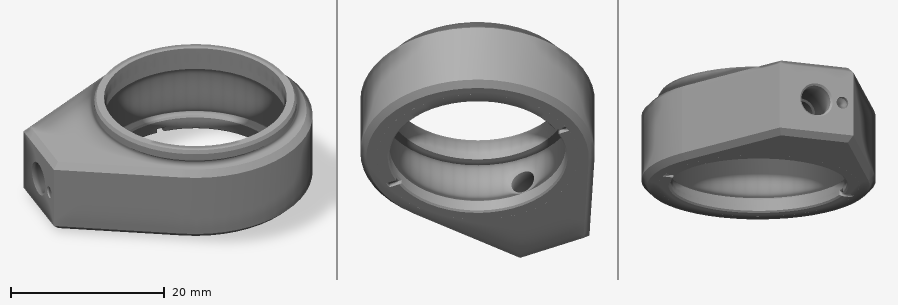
import cadquery as cq
import math

head_radius = 15.25
total_length = 37.35
foot_half_width = 5.08
plate_height = 10.2
edge_chamfer = 0.8
foot_y = head_radius - total_length

total_height = 12.17
neck_diameter = 25.0
collar_diameter = 26.3
collar_bottom = 10.75
collar_chamfer_height = 0.45
collar_chamfer_width = 0.25

thread_bore_diameter = 26.18
stop_bore_diameter = 23.75
stop_bottom = 9.0

hole_z = plate_height / 2
hole_mouth_diameter = 4.48
hole_diameter = 4.0
hole_depth = 6.0
pilot_diameter = 3.3
dimple_diameter = 1.6
dimple_x = 3.6
dimple_depth = 0.52
dimple_tip_depth = 0.45

ring_height = 2.0
ring_inner_diameter = 22.93
ring_inner_chamfer = 0.22
ring_rim_width = 0.4
ring_rim_height = 0.22
slot_width = 0.95
slot_depth = 0.55


def cylinder(diameter, bottom, top):
    """Upright cylinder on the bore axis between two heights."""
    return cq.Workplane("XY").workplane(offset=bottom).circle(diameter / 2).extrude(top - bottom)


def make_plate():
    """Teardrop plate with all its top and bottom edges chamfered."""
    corner_distance = math.hypot(foot_half_width, foot_y)
    corner_angle = math.atan2(foot_y, foot_half_width)
    tangent_angle = corner_angle + math.acos(head_radius / corner_distance)
    tangent_x = head_radius * math.cos(tangent_angle)
    tangent_y = head_radius * math.sin(tangent_angle)
    plate = (
        cq.Workplane("XY")
        .moveTo(-foot_half_width, foot_y)
        .lineTo(foot_half_width, foot_y)
        .lineTo(tangent_x, tangent_y)
        .threePointArc((0, head_radius), (-tangent_x, tangent_y))
        .close()
        .extrude(plate_height)
    )
    return plate.faces("<Z or >Z").chamfer(edge_chamfer)


def make_collar():
    """Neck and collar as one turned profile, rising from the plate top."""
    neck_radius = neck_diameter / 2
    collar_radius = collar_diameter / 2
    stop_radius = stop_bore_diameter / 2
    return (
        cq.Workplane("XZ")
        .moveTo(stop_radius, stop_bottom)
        .lineTo(neck_radius, stop_bottom)
        .lineTo(neck_radius, collar_bottom)
        .lineTo(collar_radius, collar_bottom)
        .lineTo(collar_radius, total_height - collar_chamfer_height)
        .lineTo(collar_radius - collar_chamfer_width, total_height)
        .lineTo(stop_radius, total_height)
        .close()
        .revolve(360, (0, 0, 0), (0, 1, 0))
    )


def foot_plane(x=0.0):
    """Sketch plane on the foot face, with its normal pointing into the plate."""
    return cq.Workplane(cq.Plane(origin=(x, foot_y, hole_z), xDir=(1, 0, 0), normal=(0, 1, 0)))


def make_mounting_hole():
    """Countersunk threaded hole whose pilot drill breaks into the bore."""
    mouth_chamfer = (hole_mouth_diameter - hole_diameter) / 2
    pilot = foot_plane().circle(pilot_diameter / 2).extrude(-foot_y - stop_bore_diameter / 2)
    thread = foot_plane().circle(hole_diameter / 2).extrude(hole_depth)
    mouth = foot_plane().circle(hole_mouth_diameter / 2).extrude(mouth_chamfer, taper=45)
    return pilot.union(thread).union(mouth)


def make_dimple():
    """Shallow drilled locating dimple with a conical tip, beside the mounting hole."""
    tip_start = cq.Vector(dimple_x, foot_y + dimple_depth, hole_z)
    tip = cq.Solid.makeCone(dimple_diameter / 2, 0, dimple_tip_depth, tip_start, cq.Vector(0, 1, 0))
    return foot_plane(dimple_x).circle(dimple_diameter / 2).extrude(dimple_depth).union(cq.Workplane(tip))


def make_housing():
    thread_bore = cylinder(thread_bore_diameter, 0, stop_bottom)
    stop_bore = cylinder(stop_bore_diameter, 0, total_height)
    body = make_plate().union(make_collar())
    body = body.cut(thread_bore).cut(stop_bore)
    return body.cut(make_mounting_hole()).cut(make_dimple())


def make_retaining_ring():
    """Flush ring with two spanner slots across its bottom and every edge of its opening chamfered."""
    blank = cylinder(thread_bore_diameter, 0, ring_height)
    blank = blank.faces(">Z").chamfer(ring_rim_height, ring_rim_width)
    opening = cylinder(ring_inner_diameter, 0, ring_height)
    slots = cq.Workplane("XY").rect(thread_bore_diameter, slot_width).extrude(slot_depth)
    ring = blank.cut(opening).cut(slots)
    opening_wall = ring.faces("%CYLINDER").sort(lambda wall: wall.Area()).first()
    corners = opening_wall.edges().filter(
        lambda edge: edge.geomType() == "CIRCLE" or edge.Center().z < slot_depth
    )
    return ring.newObject(corners.vals()).chamfer(ring_inner_chamfer)


housing = make_housing()
retaining_ring = make_retaining_ring()
result = cq.Compound.makeCompound([housing.val(), retaining_ring.val()])